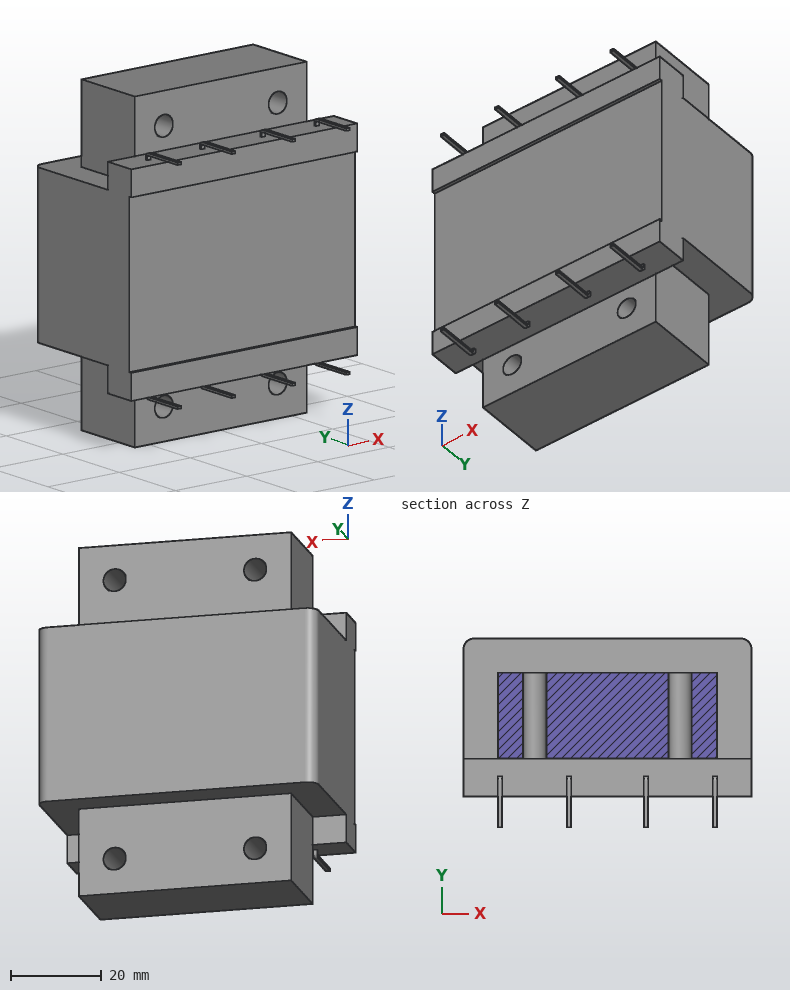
import cadquery as cq

core_width = 48.3
core_depth = 19.0
core_height = 80.0

body_width = 63.5
body_depth = 34.1
body_height = 40.0
body_back_radius = 2.5

strip_height = 6.4
strip_overhang = 0.8

hole_diameter = 5.1
hole_spacing = 32.0
hole_end_distance = 8.0

pin_width = 1.0
pin_thickness = 0.6
pin_bend_radius = 1.0
pin_rise = 1.7
pin_root_setback = 4.5
pin_length = 11.3
inner_pin_offset = 8.5
outer_pin_offset = (core_width - pin_width) / 2

body_top = body_height / 2
strip_top = body_top + strip_height
strip_front = -body_depth / 2 - strip_overhang
pin_back = strip_front + pin_root_setback


def make_core():
    hole_row_spacing = core_height - 2 * hole_end_distance
    return (
        cq.Workplane("XY")
        .box(core_width, core_depth, core_height)
        .faces("<Y")
        .workplane(centerOption="CenterOfBoundBox")
        .rarray(hole_spacing, hole_row_spacing, 2, 2)
        .hole(hole_diameter)
    )


def make_body():
    body = cq.Workplane("XY").box(body_width, body_depth, body_height)
    return body.edges("|Z and >Y").fillet(body_back_radius)


def make_strip():
    strip_depth = -core_depth / 2 - strip_front
    return cq.Workplane("XY").box(
        body_width, strip_depth, strip_height, centered=(True, False, False)
    ).translate((0, strip_front, body_top))


def make_pin(x_center):
    """L-shaped pin that rises from the strip and bends forward."""
    pin_top = strip_top + pin_rise
    pin_front = pin_back - pin_length
    inner_radius = pin_bend_radius - pin_thickness
    root_front = pin_back - pin_thickness
    leg_underside = pin_top - pin_thickness
    bend_front = pin_back - pin_bend_radius
    bend_bottom = pin_top - pin_bend_radius
    return (
        cq.Workplane("YZ", origin=(x_center, 0, 0))
        .moveTo(pin_back, strip_top)
        .lineTo(pin_back, bend_bottom)
        .radiusArc((bend_front, pin_top), -pin_bend_radius)
        .lineTo(pin_front, pin_top)
        .lineTo(pin_front, leg_underside)
        .lineTo(bend_front, leg_underside)
        .radiusArc((root_front, bend_bottom), inner_radius)
        .lineTo(root_front, strip_top)
        .close()
        .extrude(pin_width / 2, both=True)
    )


def make_terminal_end():
    """Upper terminal strip with its row of pins."""
    terminal_end = make_strip()
    for offset in (inner_pin_offset, outer_pin_offset):
        for side in (-1, 1):
            terminal_end = terminal_end.union(make_pin(side * offset))
    return terminal_end


upper_end = make_terminal_end()
lower_end = upper_end.mirror("XY")
result = make_core().union(make_body()).union(upper_end).union(lower_end)